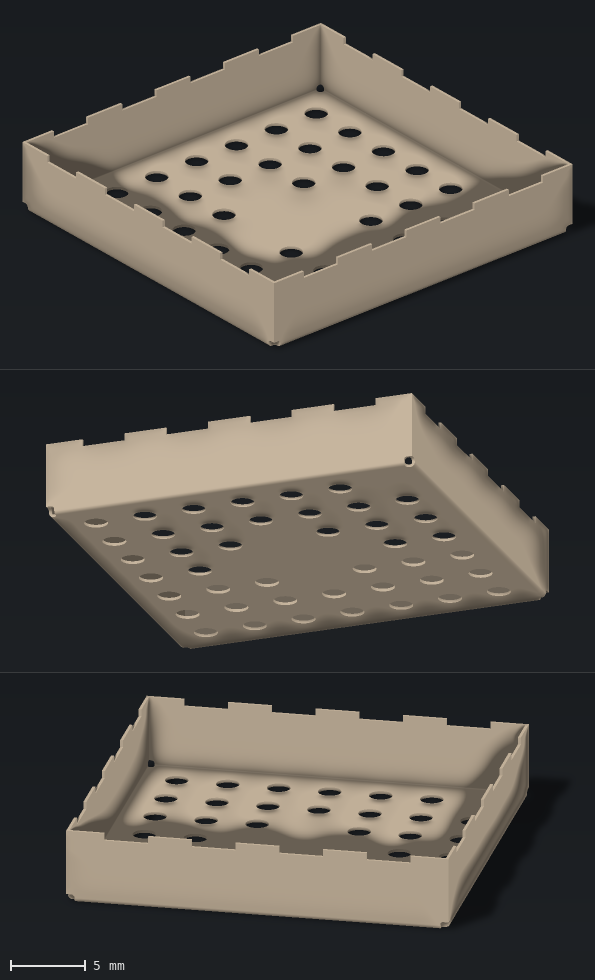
import cadquery as cq

side = 26.2
height = 5.08
thickness = 0.2
bend_radius_inner = thickness / 2
bend_radius_outer = bend_radius_inner + thickness

relief_width = 0.58
relief_height = 0.55
relief_radius = 0.24

pattern_span = 21.0

notch_count = 4
notch_depth = 0.5
notch_width = pattern_span / (2 * notch_count - 1)
notch_pitch = 2 * notch_width

hole_diameter = 1.6
holes_per_side = 7
hole_pitch = pattern_span / (holes_per_side - 1)
center_index = holes_per_side // 2


def make_tray():
    """Thin open box with the floor bent up into the walls."""
    inner_side = side - 2 * thickness
    outer = (
        cq.Workplane("XY")
        .box(side, side, height, centered=(True, True, False))
        .faces("<Z")
        .edges()
        .fillet(bend_radius_outer)
    )
    cavity = (
        cq.Workplane("XY", origin=(0, 0, thickness))
        .box(inner_side, inner_side, height, centered=(True, True, False))
        .faces("<Z")
        .edges()
        .fillet(bend_radius_inner)
    )
    return outer.cut(cavity)


def make_notches():
    """Bars along X and Y that notch opposite walls at the same places."""
    first_center = (notch_width - pattern_span) / 2
    centers = [first_center + i * notch_pitch for i in range(notch_count)]
    upper = cq.Workplane("XY", origin=(0, 0, height - notch_depth))
    along_x = upper.pushPoints([(0, c) for c in centers]).rect(side, notch_width).extrude(notch_depth)
    along_y = upper.pushPoints([(c, 0) for c in centers]).rect(notch_width, side).extrude(notch_depth)
    return along_x.union(along_y)


def has_hole(column, row):
    """The grid leaves out a central diamond and the hole at the -X, -Y corner."""
    in_center_diamond = abs(column - center_index) + abs(row - center_index) <= 1
    is_plain_corner = column == 0 and row == 0
    return not in_center_diamond and not is_plain_corner


def make_floor_holes():
    """Cylinders that pierce the floor at every used place of the grid."""
    points = [
        ((column - center_index) * hole_pitch, (row - center_index) * hole_pitch)
        for column in range(holes_per_side)
        for row in range(holes_per_side)
        if has_hole(column, row)
    ]
    return cq.Workplane("XY").pushPoints(points).circle(hole_diameter / 2).extrude(thickness)


def make_corner_reliefs():
    """Blocks at the four bottom corners, rounded where they reach into the floor and walls."""
    low = -side / 2
    block = (
        cq.Workplane("XY", origin=(low, low, 0))
        .box(relief_width, relief_width, relief_height, centered=False)
        .edges("(>X and >Y) or (>X and >Z) or (>Y and >Z)")
        .fillet(relief_radius)
    )
    reliefs = block
    for quarter in range(1, 4):
        reliefs = reliefs.union(block.rotate((0, 0, 0), (0, 0, 1), 90 * quarter))
    return reliefs


result = make_tray().cut(make_notches()).cut(make_floor_holes()).cut(make_corner_reliefs())